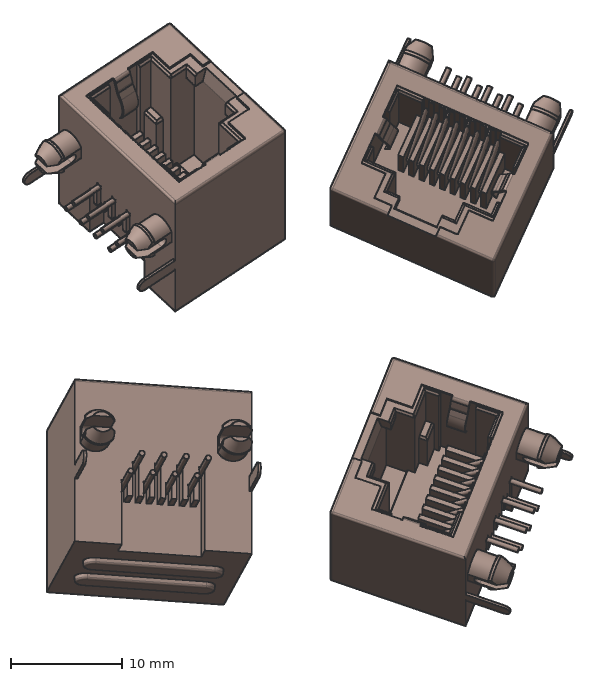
import cadquery as cq


body_width = 16.26
body_depth = 13.05
body_height = 15.7
edge_radius = 0.22
shield_thickness = 0.22
insulator_top = body_height - shield_thickness

shield_half_widths = (6.48, 4.11)
shield_levels = (1.83, 9.64, 12.09)
shield_gap_half_width = 2.38

cavity_half_widths = (6.1, 3.35)
cavity_levels = (2.31, 9.12, 10.97)
cavity_chamfer = 0.22
cavity_chamfer_angle = 45
cavity_floor = 2.5
latch_half_width = 2.11
latch_entry_y = 12.25
latch_wall_y = 11.87
latch_key_height = 1.65
latch_ledge_y = 9.85
latch_ledge_drop = 0.5

corner_block_inner_x = 4.38
corner_block_front_y = 8.3
corner_block_top = 8.5

contact_count = 8
contact_pitch = 1.016
contact_diameter = 0.5
contact_slot_width = 0.54
low_pin_z = 6.0
pin_row_spacing = 1.778
high_pin_z = low_pin_z + pin_row_spacing
pin_length = 3.0
contact_rise_y = 2.13
contact_bend_z = 10.8
contact_tip_y = 5.7
contact_tip_z = 5.5
comb_half_width = 4.35
comb_back_y = 6.35
comb_top = 9.0
contact_relief_half_width = 3.85
contact_relief_y = 2.0

recess_depth = 1.63
recess_height = 4.77

window_y = (4.31, 7.84)
window_outer_x = 6.6
finger_y = (4.96, 6.68)
finger_thickness_x = 0.2
finger_thickness_z = 0.15
finger_bend_start = (6.36, 0.0)
finger_bend_middle = (6.16, 0.12)
finger_bend_end = (6.07, 0.4)
finger_joggle = [(5.79, 1.25), (5.74, 1.5)]
finger_bow_start = (5.37, 2.1)
finger_bow_middle = (4.98, 3.4)
finger_bow_end = (5.3, 4.7)

post_x = 6.31
post_z = 10.3
post_radius = 1.5
post_head_radius = 1.65
post_end_radius = 0.97
post_head_start = 1.99
post_taper_start = 2.28
post_length = 3.64
post_flat_half_width = 1.31
post_slot_width = 1.04
post_slot_start = 0.62

tail_thickness = 0.25
tail_width = 1.36
tail_z = 6.72
tail_length = 4.25

ridge_height = 0.5
ridge_length = 12.9
ridge_width = 1.97
ridge_y = (4.66, 8.64)
ridge_draft = 8
ridge_edge_radius = 0.2


def box(x_range, y_range, z_range):
    """Axis-aligned block between the given limits."""
    size = [limits[1] - limits[0] for limits in (x_range, y_range, z_range)]
    corner = (x_range[0], y_range[0], z_range[0])
    return cq.Workplane("XY").box(*size, centered=False).translate(corner)


def centred_box(half_width, y_range, z_range):
    """Block that is symmetric about X = 0."""
    return box((-half_width, half_width), y_range, z_range)


def both_sides(feature):
    """The feature together with its mirror image across X = 0."""
    return feature.union(feature.mirror("YZ"))


def stepped_outline(half_widths, levels, z, margin=0.0):
    """Symmetric plug-shaped outline with one shoulder per side, grown by a margin."""
    wide, narrow = [half_width + margin for half_width in half_widths]
    front = levels[0] - margin
    shoulder = levels[1] + margin
    back = levels[2] + margin
    right = [(wide, front), (wide, shoulder), (narrow, shoulder), (narrow, back)]
    left = [(-x, y) for x, y in reversed(right)]
    return cq.Workplane("XY").workplane(offset=z).polyline(right + left).close()


def make_body():
    body = centred_box(body_width / 2, (0, body_depth), (0, body_height))
    body = body.edges("|Z and >Y").fillet(edge_radius)
    return body.faces(">Z").edges().fillet(edge_radius)


def make_shield_opening():
    opening = stepped_outline(shield_half_widths, shield_levels, insulator_top).extrude(shield_thickness)
    gap = centred_box(shield_gap_half_width, (shield_levels[1], body_depth), (insulator_top, body_height))
    return opening.union(gap)


def make_cavity():
    well = stepped_outline(cavity_half_widths, cavity_levels, cavity_floor)
    well = well.extrude(insulator_top - cavity_floor)
    mouth = stepped_outline(cavity_half_widths, cavity_levels, insulator_top, cavity_chamfer)
    cavity = well.union(mouth.extrude(-cavity_chamfer, taper=cavity_chamfer_angle))

    key_bottom = insulator_top - latch_key_height
    latch_entry = (
        cq.Workplane("YZ")
        .moveTo(latch_ledge_y, insulator_top)
        .lineTo(latch_entry_y, insulator_top)
        .lineTo(latch_wall_y, key_bottom)
        .lineTo(latch_ledge_y, key_bottom)
        .close()
        .extrude(latch_half_width, both=True)
    )
    latch_space = centred_box(
        cavity_half_widths[1],
        (latch_ledge_y, latch_wall_y),
        (cavity_floor - latch_ledge_drop, key_bottom),
    )
    return cavity.union(latch_entry).union(latch_space)


def make_corner_block():
    """Chamfered block in the shoulder corner on the +X side."""
    block = box(
        (corner_block_inner_x, window_outer_x),
        (corner_block_front_y, cavity_levels[1] + cavity_chamfer),
        (cavity_floor, corner_block_top),
    )
    return block.faces(">Z").edges("<X or <Y").chamfer(cavity_chamfer)


def make_spring_window():
    return box((cavity_half_widths[0], window_outer_x), window_y, (cavity_floor, insulator_top))


def make_spring_finger():
    """Strip bent down from the edge of the shield opening on the +X side, bowed towards the plug."""

    def front(point):
        return (point[0], body_height - point[1])

    def rear(point):
        return (point[0] + finger_thickness_x, body_height - point[1] - finger_thickness_z)

    root = (window_outer_x, 0)
    joggle_start, joggle_end = finger_joggle
    return (
        cq.Workplane("XZ", origin=(0, finger_y[0], 0))
        .moveTo(*front(root))
        .lineTo(*front(finger_bend_start))
        .threePointArc(front(finger_bend_middle), front(finger_bend_end))
        .lineTo(*front(joggle_start))
        .lineTo(*front(joggle_end))
        .lineTo(*front(finger_bow_start))
        .threePointArc(front(finger_bow_middle), front(finger_bow_end))
        .lineTo(*rear(finger_bow_end))
        .threePointArc(rear(finger_bow_middle), rear(finger_bow_start))
        .lineTo(*rear(joggle_end))
        .lineTo(*rear(joggle_start))
        .lineTo(*rear(finger_bend_end))
        .threePointArc(rear(finger_bend_middle), rear(finger_bend_start))
        .lineTo(*rear(root))
        .close()
        .extrude(finger_y[0] - finger_y[1])
    )


def make_comb():
    return centred_box(comb_half_width, (contact_relief_y, comb_back_y), (cavity_floor, comb_top))


def make_contact_relief():
    """Step in the cavity wall above the comb."""
    return centred_box(
        contact_relief_half_width,
        (contact_relief_y, cavity_levels[0]),
        (comb_top, insulator_top),
    )


def contact_positions():
    """X position and pin height of every contact; the pins alternate between two rows."""
    first_x = -contact_pitch * (contact_count - 1) / 2
    for index in range(contact_count):
        pin_z = high_pin_z if index % 2 else low_pin_z
        yield first_x + index * contact_pitch, pin_z


def contact_slot_limits(x):
    """X limits of the slot around a contact."""
    return (x - contact_slot_width / 2, x + contact_slot_width / 2)


def make_contact_slot(x):
    """Groove in the comb and in the cavity wall that houses one contact."""
    slot_x = contact_slot_limits(x)
    comb_slot = box(slot_x, (shield_levels[0], comb_back_y), (cavity_floor, comb_top))
    wall_slot = box(slot_x, (shield_levels[0], cavity_levels[0]), (comb_top, insulator_top))
    return comb_slot.union(wall_slot)


def make_contact(x, pin_z):
    """Round wire: straight pin, vertical rise, then a leg sloping down into the comb."""
    path = (
        cq.Workplane("YZ", origin=(x, 0, 0))
        .moveTo(-pin_length, pin_z)
        .lineTo(contact_rise_y, pin_z)
        .lineTo(contact_rise_y, contact_bend_z)
        .lineTo(contact_tip_y, contact_tip_z)
    )
    section = cq.Workplane("XZ", origin=(x, -pin_length, pin_z)).circle(contact_diameter / 2)
    return section.sweep(path, transition="right")


def make_board_recess():
    """Recess in the board face with one slot rising to each pin."""
    last_x = contact_pitch * (contact_count - 1) / 2
    recess = centred_box(last_x + contact_slot_width / 2, (0, recess_depth), (0, recess_height))
    for x, pin_z in contact_positions():
        slot_top = pin_z + contact_slot_width / 2
        recess = recess.union(box(contact_slot_limits(x), (0, recess_depth), (0, slot_top)))
    return recess


def make_post():
    """Split snap-in post on the +X side with flattened flanks."""
    profile = [
        (0, 0),
        (post_radius, 0),
        (post_radius, -post_head_start),
        (post_head_radius, -post_head_start),
        (post_head_radius, -post_taper_start),
        (post_end_radius, -post_length),
        (0, -post_length),
    ]
    post = cq.Workplane("XY").polyline(profile).close().revolve(360, (0, 0, 0), (0, 1, 0))
    post = post.intersect(
        centred_box(post_flat_half_width, (-post_length, 0), (-post_head_radius, post_head_radius))
    )

    slot_radius = post_slot_width / 2
    round_y = -post_slot_start - slot_radius
    slot = centred_box(post_flat_half_width, (-post_length, round_y), (-slot_radius, slot_radius))
    slot_end = (
        cq.Workplane("YZ")
        .center(round_y, 0)
        .circle(slot_radius)
        .extrude(post_flat_half_width, both=True)
    )
    return post.cut(slot).cut(slot_end).translate((post_x, 0, post_z))


def make_tail():
    """Flat round-ended ground tail flush with the +X side."""
    radius = tail_width / 2
    return (
        cq.Workplane("YZ", origin=(body_width / 2, 0, tail_z))
        .moveTo(edge_radius, radius)
        .lineTo(radius - tail_length, radius)
        .threePointArc((-tail_length, 0), (radius - tail_length, -radius))
        .lineTo(edge_radius, -radius)
        .close()
        .extrude(-tail_thickness)
    )


def make_ridge(y):
    """Drafted round-ended standoff ridge."""
    ridge = (
        cq.Workplane("XY", origin=(0, y, 0))
        .slot2D(ridge_length, ridge_width)
        .extrude(-ridge_height, taper=ridge_draft)
    )
    return ridge.faces("<Z").edges().fillet(ridge_edge_radius)


result = make_body().cut(make_shield_opening()).cut(make_cavity())
result = result.cut(both_sides(make_spring_window()))
result = result.union(both_sides(make_corner_block()))
result = result.union(make_comb()).cut(make_contact_relief()).cut(make_board_recess())
for contact_x, _ in contact_positions():
    result = result.cut(make_contact_slot(contact_x))
for contact_x, contact_pin_z in contact_positions():
    result = result.union(make_contact(contact_x, contact_pin_z))
result = result.union(both_sides(make_spring_finger()))
result = result.union(both_sides(make_post())).union(both_sides(make_tail()))
for centre_y in ridge_y:
    result = result.union(make_ridge(centre_y))